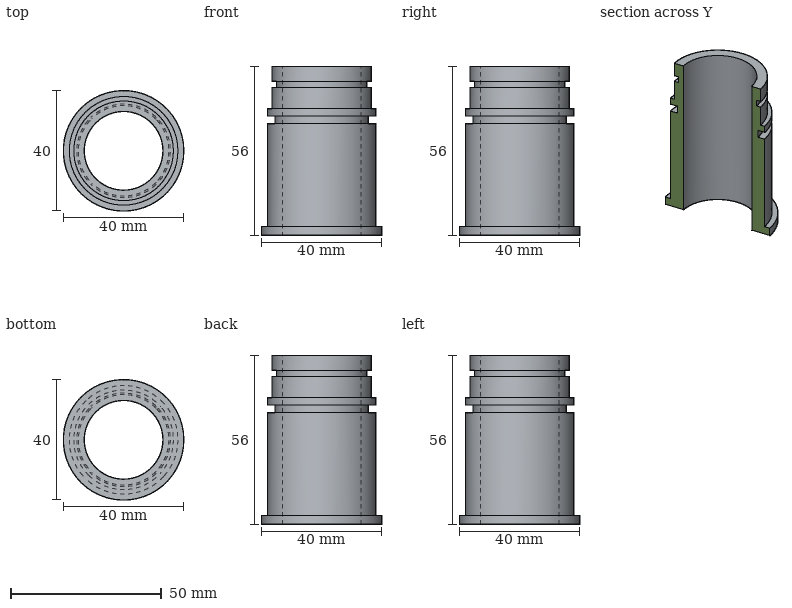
import cadquery as cq

BORE_DIAMETER = 26.0
FLANGE_DIAMETER = 40.0
BODY_DIAMETER = 36.0
NECK_DIAMETER = 33.0
LOWER_GROOVE_DIAMETER = 31.0
UPPER_GROOVE_DIAMETER = 30.0

FLANGE_THICKNESS = 3.0
BODY_LENGTH = 34.0
LOWER_GROOVE_WIDTH = 2.5
COLLAR_THICKNESS = 2.5
NECK_LENGTH = 7.0
UPPER_GROOVE_WIDTH = 2.0
TOP_RIM_LENGTH = 5.0

OUTER_STEPS = [
    (FLANGE_DIAMETER, FLANGE_THICKNESS),
    (BODY_DIAMETER, BODY_LENGTH),
    (LOWER_GROOVE_DIAMETER, LOWER_GROOVE_WIDTH),
    (BODY_DIAMETER, COLLAR_THICKNESS),
    (NECK_DIAMETER, NECK_LENGTH),
    (UPPER_GROOVE_DIAMETER, UPPER_GROOVE_WIDTH),
    (NECK_DIAMETER, TOP_RIM_LENGTH),
]


def stepped_sleeve(steps, bore_diameter):
    """Revolve the stepped wall section about Z, with the base on Z = 0."""
    bore_radius = bore_diameter / 2
    height = 0.0
    section = cq.Workplane("XZ").moveTo(bore_radius, height)
    for diameter, length in steps:
        section = section.lineTo(diameter / 2, height)
        height += length
        section = section.lineTo(diameter / 2, height)
    section = section.lineTo(bore_radius, height).close()
    return section.revolve(360, (0, 0, 0), (0, 1, 0))


result = stepped_sleeve(OUTER_STEPS, BORE_DIAMETER)